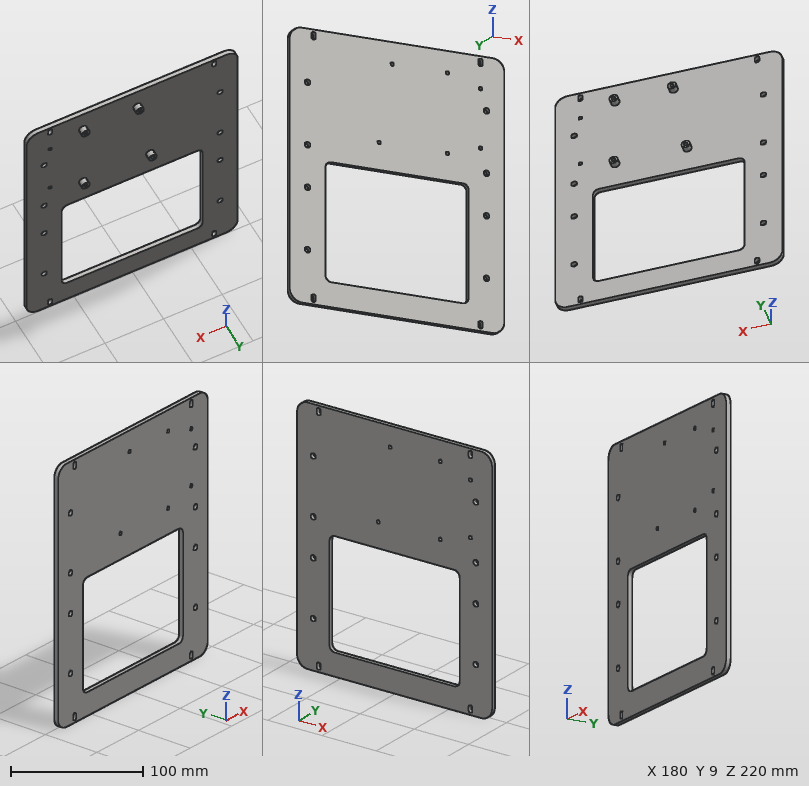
import cadquery as cq

plate_width = 180.0
plate_height = 220.0
plate_thickness = 4.0
plate_corner_radius = 10.0
overall_depth = 9.0

window_width = 120.0
window_height = 96.0
window_corner_radius = 5.0
window_center_z = -42.0

fixing_diameter = 4.5
fixing_spacing_x = 150.0
fixing_spacing_z = 50.0
fixing_group_z = abs(window_center_z)

slot_width = 3.5
slot_length = 6.0
slot_spacing_x = 140.0
slot_spacing_z = 210.0

standoff_diameter = 6.6
standoff_height = overall_depth - plate_thickness
pilot_diameter = 2.8
board_right_x = 42.2
board_upper_hole_spacing = 46.3
board_lower_hole_spacing = 57.2
board_upper_z = 92.3
board_lower_z = 27.9
standoff_points = [
    (board_right_x - board_upper_hole_spacing, board_upper_z),
    (board_right_x, board_upper_z),
    (board_right_x - board_lower_hole_spacing, board_lower_z),
    (board_right_x, board_lower_z),
]

side_hole_diameter = 2.8
side_hole_x = slot_spacing_x / 2
side_hole_spacing_z = 47.6
side_hole_center_z = 60.2

front_plane = cq.Workplane("XZ")
back_plane = cq.Workplane("XZ", origin=(0, plate_thickness, 0))


def make_plate():
    plate = front_plane.rect(plate_width, plate_height).extrude(-plate_thickness)
    return plate.edges("|Y").fillet(plate_corner_radius)


def make_window():
    window = front_plane.center(0, window_center_z).rect(window_width, window_height)
    return window.extrude(-plate_thickness).edges("|Y").fillet(window_corner_radius)


def make_holes(points, diameter):
    return front_plane.pushPoints(points).circle(diameter / 2).extrude(-overall_depth)


def make_fixing_holes():
    points = [
        (side * fixing_spacing_x / 2, group_z + end * fixing_spacing_z / 2)
        for group_z in (-fixing_group_z, fixing_group_z)
        for side in (-1, 1)
        for end in (-1, 1)
    ]
    return make_holes(points, fixing_diameter)


def make_slots():
    slots = front_plane.rarray(slot_spacing_x, slot_spacing_z, 2, 2)
    return slots.slot2D(slot_length, slot_width, 90).extrude(-plate_thickness)


def make_side_holes():
    points = [(side_hole_x, side_hole_center_z + end * side_hole_spacing_z / 2) for end in (-1, 1)]
    return make_holes(points, side_hole_diameter)


def make_standoffs():
    return back_plane.pushPoints(standoff_points).circle(standoff_diameter / 2).extrude(-standoff_height)


result = (
    make_plate()
    .union(make_standoffs())
    .cut(make_window())
    .cut(make_fixing_holes())
    .cut(make_slots())
    .cut(make_side_holes())
    .cut(make_holes(standoff_points, pilot_diameter))
)